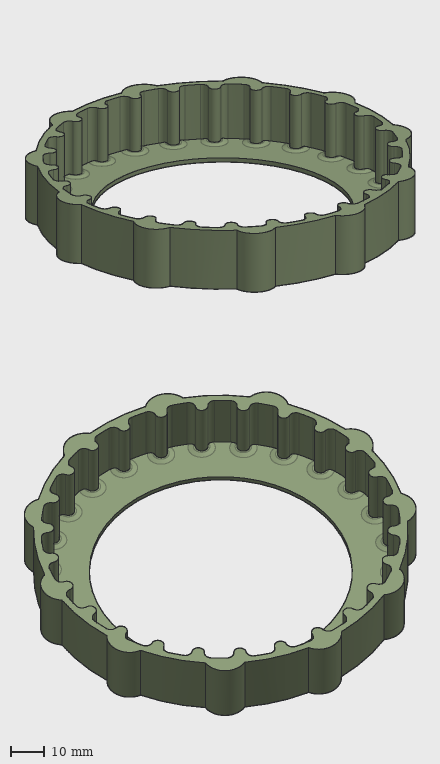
import cadquery as cq
import math

overall_length = 117.7
height = 19.3
body_radius = 56.3
cavity_radius = 54.0
bore_diameter = 79.0
floor_thickness = 1.4
wall_height = height - floor_thickness

lobe_count = 11
lobe_radius = 6.8
widest_lobe_tilt = math.radians(90 - 3 * 360 / lobe_count)
lobe_center_radius = (overall_length / 2 - lobe_radius) / math.cos(widest_lobe_tilt)

tooth_count = 26
tooth_radius = 1.9
tooth_center_radius = 52.0
tooth_root_radius = 2.1

seat_height = 0.5
seat_base_radius = 4.1
seat_top_radius = 2.5


def polar(radius, angle):
    """Point at an angle in radians measured from +Y toward -X."""
    return cq.Vector(-radius * math.sin(angle), radius * math.cos(angle))


def copies_around(shape, count):
    """The shape repeated evenly about the Z axis, merged into one."""
    merged = shape
    for i in range(1, count):
        merged = merged.union(shape.rotate((0, 0, 0), (0, 0, 1), i * 360 / count))
    return merged


def make_body():
    lobe = cq.Workplane("XY", origin=(0, lobe_center_radius, 0)).circle(lobe_radius).extrude(height)
    return cq.Workplane("XY").circle(body_radius).extrude(height).union(copies_around(lobe, lobe_count))


def make_cavity():
    """The hollow inside the wall: nose, root and wall arcs, each tangent to the next."""
    root_center_radius = cavity_radius - tooth_root_radius
    nose_to_root = tooth_radius + tooth_root_radius
    root_angle = math.acos(
        (tooth_center_radius**2 + root_center_radius**2 - nose_to_root**2)
        / (2 * tooth_center_radius * root_center_radius)
    )
    pitch = 2 * math.pi / tooth_count

    def nose_end(tooth_angle, side):
        nose_center = polar(tooth_center_radius, tooth_angle)
        root_center = polar(root_center_radius, tooth_angle + side * root_angle)
        return nose_center + (root_center - nose_center) * (tooth_radius / nose_to_root)

    def root_middle(tooth_angle, side):
        root_center = polar(root_center_radius, tooth_angle + side * root_angle)
        to_nose = (nose_end(tooth_angle, side) - root_center).normalized()
        to_wall = root_center.normalized()
        return root_center + (to_nose + to_wall).normalized() * tooth_root_radius

    outline = cq.Workplane("XY", origin=(0, 0, floor_thickness)).moveTo(*nose_end(0, -1).toTuple()[:2])
    for i in range(tooth_count):
        angle = i * pitch
        next_angle = angle + pitch
        outline = (
            outline
            .threePointArc(polar(tooth_center_radius - tooth_radius, angle), nose_end(angle, 1))
            .threePointArc(root_middle(angle, 1), polar(cavity_radius, angle + root_angle))
            .threePointArc(
                polar(cavity_radius, angle + pitch / 2),
                polar(cavity_radius, next_angle - root_angle),
            )
            .threePointArc(root_middle(next_angle, -1), nose_end(next_angle, -1))
        )
    return outline.close().extrude(wall_height)


def make_seat():
    return (
        cq.Workplane("XY", origin=(0, tooth_center_radius, floor_thickness))
        .circle(seat_base_radius)
        .workplane(offset=seat_height)
        .circle(seat_top_radius)
        .loft(ruled=True)
    )


bore = cq.Workplane("XY").circle(bore_diameter / 2).extrude(height)

result = make_body().cut(make_cavity()).cut(bore)
result = result.union(copies_around(make_seat(), tooth_count))